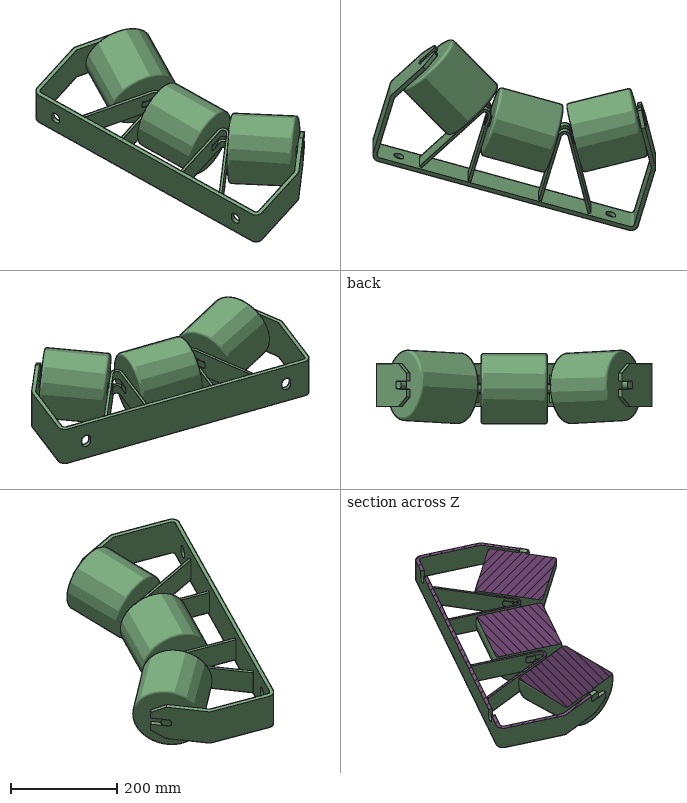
import cadquery as cq
import math


FRAME_WIDTH = 520.0
FRAME_HEIGHT = 81.0
FRAME_THICKNESS = 8.0
FRAME_BEND_RADIUS = 14.0
SIDE_LENGTH = 132.5
ARM_LENGTH = 114.0
ARM_ANGLE = 30.0
TIP_CHAMFER_LENGTH = 30.0
TIP_CHAMFER_DEPTH = 18.0
SEAT_FROM_TIP = 30.0
MOUNT_SLOT_SPACING = 416.0
MOUNT_SLOT_WIDTH = 17.5
MOUNT_SLOT_HEIGHT = 26.0

ROLLER_DIAMETER = 133.0
ROLLER_LENGTH = 125.0
ROLLER_FILLET = 5.0
AXLE_DIAMETER = 20.5
AXLE_FLATS = 14.0
AXLE_SHOULDER = 2.5
ROLLER_GAP = 4.0
MIDDLE_ROLLER_Y = 125.0
INNER_SEAT_Z = -7.0

BRACKET_HEIGHT = 52.0
BRACKET_THICKNESS = 5.0
BRACKET_BEND_RADIUS = 12.0
BRACKET_BEND_Y = 141.5

SEAT_SLOT_WIDTH = 15.5

ARM_TILT = math.radians(ARM_ANGLE)
ALONG_ARM = cq.Vector(math.sin(ARM_TILT), math.cos(ARM_TILT), 0)
ALONG_AXIS = cq.Vector(math.cos(ARM_TILT), -math.sin(ARM_TILT), 0)

ARM_CORNER = cq.Vector(-FRAME_WIDTH / 2, SIDE_LENGTH, 0)
ARM_TIP = ARM_CORNER + ALONG_ARM * ARM_LENGTH
ARM_SEAT = ARM_TIP - ALONG_ARM * SEAT_FROM_TIP

UPRIGHT_FACE_X = -(ROLLER_LENGTH / 2 + ROLLER_GAP)
BEND_CENTER = cq.Vector(UPRIGHT_FACE_X - BRACKET_BEND_RADIUS, BRACKET_BEND_Y, 0)
INCLINED_FACE_POINT = BEND_CENTER - ALONG_AXIS * BRACKET_BEND_RADIUS

ARM_REACH = ROLLER_LENGTH / 2 + ROLLER_GAP + FRAME_THICKNESS
UPRIGHT_REACH = ROLLER_LENGTH / 2 + ROLLER_GAP + BRACKET_THICKNESS
INCLINED_REACH = (INCLINED_FACE_POINT - ARM_SEAT).dot(ALONG_AXIS) - ARM_REACH + BRACKET_THICKNESS

SEAT_DISTANCE = ARM_REACH + INCLINED_REACH - (FRAME_THICKNESS + BRACKET_THICKNESS) / 2
AXIS_FALL = math.degrees(math.asin(-INNER_SEAT_Z / SEAT_DISTANCE))
SIDE_ROLLER_CENTER = ARM_SEAT + ALONG_AXIS * ARM_REACH + cq.Vector(0, 0, INNER_SEAT_Z / 2)


def bent_strip(corners, center_radius, thickness, height, z_middle):
    """Strip that stands on edge and follows a line of (x, y) corners, each bent to one radius."""
    line = cq.Wire.makePolygon([cq.Vector(x, y, z_middle) for x, y in corners])
    bends = line.Vertices()[1:-1]
    path = line.fillet(center_radius, bends)
    start = path.startPoint()
    section = cq.Plane(origin=start, xDir=(0, 0, 1), normal=path.tangentAt(0))
    return cq.Workplane(section).rect(height, thickness).sweep(cq.Workplane(path))


def pose_side(body):
    """Move a body from roller coordinates, with the axis along X, to the left side roller."""
    return (
        body.rotate((0, 0, 0), (0, 1, 0), AXIS_FALL)
        .rotate((0, 0, 0), (0, 0, 1), -ARM_ANGLE)
        .translate(SIDE_ROLLER_CENTER)
    )


def pose_middle(body):
    """Move a body from roller coordinates to the middle roller."""
    return body.translate((0, MIDDLE_ROLLER_Y, INNER_SEAT_Z))


def mirrored(body):
    """The same body in the other half."""
    return body.mirror("YZ")


def roller(left_reach, right_reach):
    """Roller centred on the origin, axis along X, with flats on the axle where the sheets hold it."""
    drum = (
        cq.Workplane("YZ", origin=(-ROLLER_LENGTH / 2, 0, 0))
        .circle(ROLLER_DIAMETER / 2)
        .extrude(ROLLER_LENGTH)
        .faces("|X")
        .edges()
        .fillet(ROLLER_FILLET)
    )
    axle = cq.Workplane("YZ", origin=(-left_reach, 0, 0)).circle(AXLE_DIAMETER / 2)
    axle = axle.extrude(left_reach + right_reach)
    flats = cq.Workplane().box(2 * (left_reach + right_reach), AXLE_DIAMETER, AXLE_FLATS)
    round_length = ROLLER_LENGTH + 2 * AXLE_SHOULDER
    round_part = cq.Workplane().box(round_length, AXLE_DIAMETER, AXLE_DIAMETER)
    return drum.union(axle.intersect(flats.union(round_part)))


def seat_slot(x_start, x_end, length):
    """Cutter in roller coordinates: slot open toward +Y, with an end that fits round the axle."""
    radius = AXLE_DIAMETER / 2
    half_width = SEAT_SLOT_WIDTH / 2
    arc_start_y = -math.sqrt(radius**2 - half_width**2)
    return (
        cq.Workplane("YZ", origin=(x_start, 0, 0))
        .moveTo(length, half_width)
        .lineTo(arc_start_y, half_width)
        .threePointArc((-radius, 0), (arc_start_y, -half_width))
        .lineTo(length, -half_width)
        .close()
        .extrude(x_end - x_start)
    )


def tip_chamfers():
    """Cutter for the two corners of the left arm's tip."""
    tip_plane = cq.Plane(origin=ARM_TIP, xDir=ALONG_ARM, normal=ALONG_AXIS)
    half_height = FRAME_HEIGHT / 2
    corner = (
        cq.Workplane(tip_plane)
        .polyline([
            (-TIP_CHAMFER_LENGTH, half_height),
            (0, half_height),
            (0, half_height - TIP_CHAMFER_DEPTH),
        ])
        .close()
        .extrude(FRAME_THICKNESS)
    )
    return corner.union(corner.mirror("XY"))


def make_frame():
    half_thickness = FRAME_THICKNESS / 2
    side_x = -FRAME_WIDTH / 2 + half_thickness
    corner_shift = half_thickness * math.tan(ARM_TILT / 2)
    tip = ARM_TIP + ALONG_AXIS * half_thickness
    left_half = [
        (side_x, half_thickness),
        (side_x, SIDE_LENGTH - corner_shift),
        (tip.x, tip.y),
    ]
    right_half = [(-x, y) for x, y in left_half]
    frame = bent_strip(
        left_half[::-1] + right_half,
        FRAME_BEND_RADIUS - half_thickness,
        FRAME_THICKNESS,
        FRAME_HEIGHT,
        0,
    )
    mount_slots = (
        cq.Workplane("XZ")
        .pushPoints([(-MOUNT_SLOT_SPACING / 2, 0), (MOUNT_SLOT_SPACING / 2, 0)])
        .slot2D(MOUNT_SLOT_HEIGHT, MOUNT_SLOT_WIDTH, 90)
        .extrude(-FRAME_THICKNESS)
    )
    seat_depth = 2 * FRAME_THICKNESS
    seat = pose_side(seat_slot(-ROLLER_LENGTH / 2 - seat_depth, -ROLLER_LENGTH / 2, 2 * SEAT_FROM_TIP))
    arm_cuts = tip_chamfers().union(seat)
    return frame.cut(mount_slots).cut(arm_cuts).cut(mirrored(arm_cuts))


def make_left_bracket():
    center_radius = BRACKET_BEND_RADIUS - BRACKET_THICKNESS / 2
    upright_x = BEND_CENTER.x + center_radius
    half_turn = math.radians(180 - ARM_ANGLE) / 2
    apex_y = BRACKET_BEND_Y + center_radius * math.tan(half_turn)
    foot_y = FRAME_THICKNESS + BRACKET_THICKNESS / 2 * math.sin(ARM_TILT)
    foot_x = upright_x - (apex_y - foot_y) * math.tan(ARM_TILT)
    bracket = bent_strip(
        [(upright_x, FRAME_THICKNESS), (upright_x, apex_y), (foot_x, foot_y)],
        center_radius,
        BRACKET_THICKNESS,
        BRACKET_HEIGHT,
        INNER_SEAT_Z,
    )
    bend_width = 3 * BRACKET_BEND_RADIUS
    bend_slot = (
        cq.Workplane()
        .box(bend_width, BRACKET_BEND_RADIUS, SEAT_SLOT_WIDTH, centered=(True, False, True))
        .translate(BEND_CENTER + cq.Vector(0, 0, INNER_SEAT_Z))
    )
    slot_length = BRACKET_BEND_Y - MIDDLE_ROLLER_Y
    upright_slot = pose_middle(seat_slot(-UPRIGHT_REACH, -ROLLER_LENGTH / 2, slot_length))
    inclined_slot = pose_side(seat_slot(ROLLER_LENGTH / 2, INCLINED_REACH + BRACKET_THICKNESS, slot_length))
    return bracket.cut(bend_slot).cut(upright_slot).cut(inclined_slot)


frame = make_frame()
left_bracket = make_left_bracket()
middle_roller = pose_middle(roller(UPRIGHT_REACH, UPRIGHT_REACH))
left_roller = pose_side(roller(ARM_REACH, INCLINED_REACH))

solids = [frame.solids().val(), middle_roller.solids().val()]
for left_body in (left_bracket, left_roller):
    right_body = mirrored(left_body)
    solids.append(left_body.solids().val())
    solids.append(right_body.solids().val())

result = cq.Compound.makeCompound(solids)